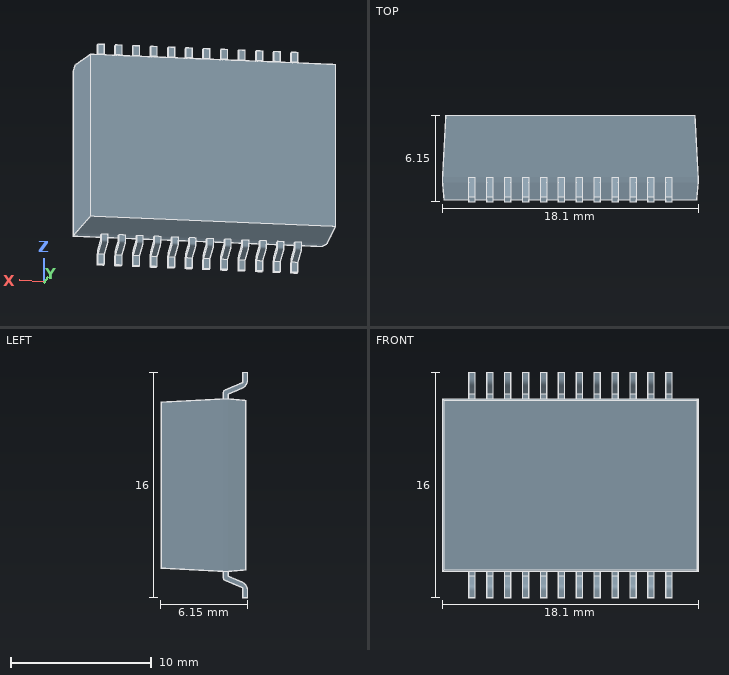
import cadquery as cq
import math

band_length = 18.15
band_height = 12.25
lead_thickness = 0.37
front_depth = 1.23
back_depth = 4.41
front_draft = 5.0
back_draft = 3.0

lead_count = 12
lead_pitch = 1.27
lead_width = 0.46
lead_span = 16.0
standoff = 0.14
shoulder_length = 0.33
slope_angle = 23.0
shoulder_radius = 0.22
foot_radius = 0.70

total_depth = standoff + front_depth + lead_thickness + back_depth
foot_front_y = -total_depth / 2
foot_back_y = foot_front_y + lead_thickness
band_front_y = foot_front_y + standoff + front_depth
band_back_y = band_front_y + lead_thickness


def make_body():
    """Parting band with one tapered block on its front and one on its back."""
    band = (
        cq.Workplane("XZ", origin=(0, band_back_y, 0))
        .rect(band_length, band_height)
        .extrude(lead_thickness)
    )
    front = (
        cq.Workplane("XZ", origin=(0, band_front_y, 0))
        .rect(band_length, band_height)
        .extrude(front_depth, taper=front_draft)
    )
    back = (
        cq.Workplane("ZX", origin=(0, band_back_y, 0))
        .rect(band_height, band_length)
        .extrude(back_depth, taper=back_draft)
    )
    return band.union(front).union(back)


def make_upper_lead():
    """One lead at X = 0, bent towards the front and up to a vertical foot."""
    slope = math.tan(math.radians(slope_angle))
    bend_offset = lead_thickness * math.tan(math.radians(90 - slope_angle) / 2)
    slope_rise = (band_front_y - foot_front_y) * slope

    root_z = 0.0
    tip_z = lead_span / 2
    shoulder_inner_z = band_height / 2 + shoulder_length
    shoulder_outer_z = shoulder_inner_z + bend_offset
    foot_outer_z = shoulder_inner_z + slope_rise
    foot_inner_z = foot_outer_z + bend_offset

    def bend_edge(y, z):
        """Selector for the edge along X that passes through (y, z)."""
        reach = 0.01
        return cq.selectors.BoxSelector(
            (-lead_width, y - reach, z - reach),
            (lead_width, y + reach, z + reach),
        )

    outline = [
        (band_front_y, root_z),
        (band_front_y, shoulder_inner_z),
        (foot_front_y, foot_outer_z),
        (foot_front_y, tip_z),
        (foot_back_y, tip_z),
        (foot_back_y, foot_inner_z),
        (band_back_y, shoulder_outer_z),
        (band_back_y, root_z),
    ]
    lead = cq.Workplane("YZ").polyline(outline).close().extrude(lead_width / 2, both=True)
    lead = lead.edges(bend_edge(foot_front_y, foot_outer_z)).fillet(foot_radius)
    return lead.edges(bend_edge(band_back_y, shoulder_outer_z)).fillet(shoulder_radius)


def add_leads(body):
    """Join both rows of leads to the body; the lower row mirrors the upper one."""
    upper_lead = make_upper_lead()
    lead_pair = upper_lead.union(upper_lead.mirror("XY"))
    first_x = -lead_pitch * (lead_count - 1) / 2
    for index in range(lead_count):
        body = body.union(lead_pair.translate((first_x + index * lead_pitch, 0, 0)))
    return body


result = add_leads(make_body())